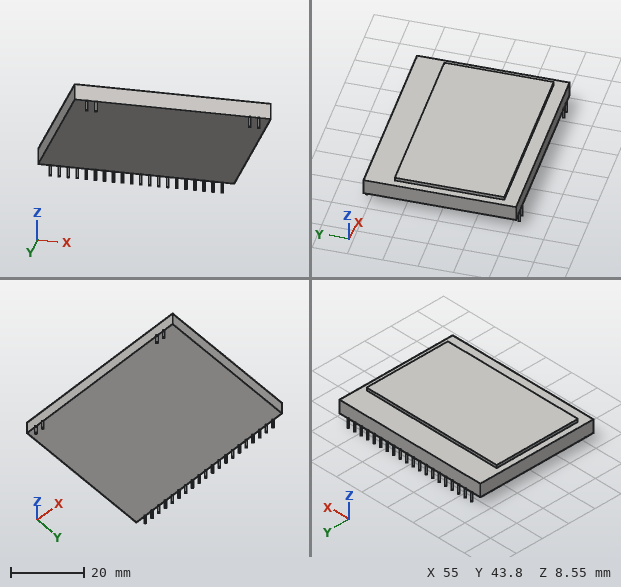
import cadquery as cq

body_length = 55.0
body_width = 43.2
body_height = 4.6

panel_length = 50.75
panel_width = 30.95
panel_height = 1.0
panel_rear_margin = 8.3

pin_diameter = 0.6
pin_length = 2.95
pin_count = 20
pin_row_length = 48.25
pin_pitch = pin_row_length / (pin_count - 1)
front_end_pins = 2


def pin_row(y, positions):
    """Pins hanging below the body at the given places along a row."""
    centres = [(i * pin_pitch - pin_row_length / 2, y) for i in positions]
    return cq.Workplane("XY").pushPoints(centres).circle(pin_diameter / 2).extrude(-pin_length)


body = cq.Workplane("XY").rect(body_length, body_width).extrude(body_height)

panel_center_y = body_width / 2 - panel_rear_margin - panel_width / 2
panel = (
    cq.Workplane("XY", origin=(0, panel_center_y, body_height))
    .rect(panel_length, panel_width)
    .extrude(panel_height)
)

rear_positions = range(pin_count)
front_positions = [
    i for i in rear_positions
    if i < front_end_pins or i >= pin_count - front_end_pins
]
rear_pins = pin_row(body_width / 2, rear_positions)
front_pins = pin_row(-body_width / 2, front_positions)

result = body.union(panel).union(rear_pins).union(front_pins)